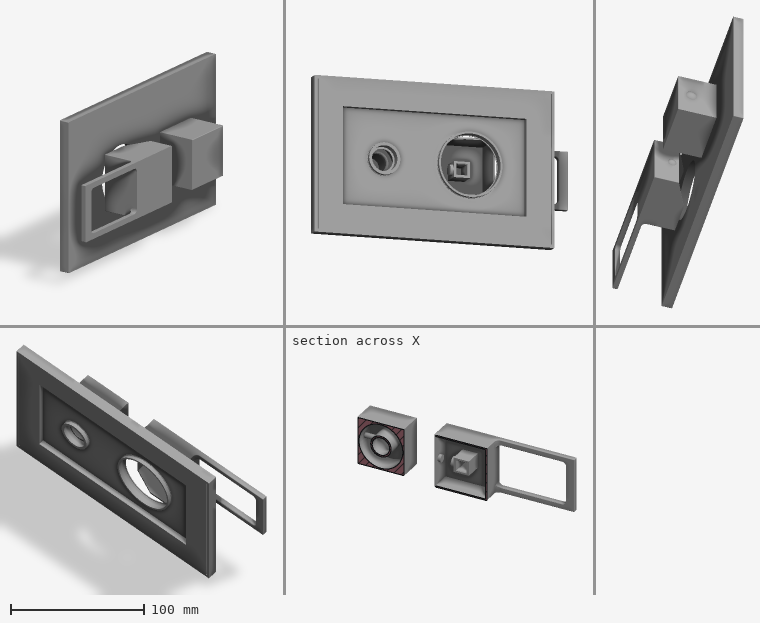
import cadquery as cq

PLATE_LENGTH = 190.0
PLATE_HEIGHT = 120.0
PLATE_THICKNESS = 8.0
RECESS_LENGTH = 145.0
RECESS_HEIGHT = 75.0
RECESS_DEPTH = 4.5
COLLAR_PROUD = 3.5
COLLAR_ROOT_FILLET = 0.5
LARGE_COLLAR_RADIUS = 25.0
LARGE_HOLE_RADIUS = 23.5
LARGE_LIP_RADIUS = 23.0
SMALL_COLLAR_RADIUS = 12.3
SMALL_HOLE_RADIUS = 10.0
SMALL_LIP_RADIUS = 8.5
LIP_THICKNESS = 0.6
GROOVE_INSET = 2.1
GROOVE_END_INSET = 2.5
GROOVE_WIDTH = 0.8
GROOVE_DEPTH = 1.0

TOTAL_LENGTH = 212.5

CONTROL_FRONT = 10.6
WALL = 1.5
BACK_WALL = 4.0
EDGE_FILLET = 0.5

LEVER_Y = -29.0
LEVER_SIZE = 45.0
LEVER_BACK = 40.0
BEVEL_DEPTH = 10.2
BEVEL_RUN = 21.5
HANDLE_THICKNESS = BACK_WALL
HANDLE_END = PLATE_LENGTH / 2 - TOTAL_LENGTH
HANDLE_ARM = 4.5
HANDLE_GRIP = 7.2
HANDLE_WINDOW_CHAMFER = 0.5
HANDLE_ROOT_RADIUS = 3.5
SOCKET_WIDTH = 13.0
SOCKET_HEIGHT = 12.3
SOCKET_FRONT = 21.7
SQUARE_HOLE = 8.0
SQUARE_HOLE_CHAMFER = 0.6
LEVER_SCREW_X = 26.0
LEVER_SCREW_RADIUS = 3.5
LEVER_SCREW_PROUD = 1.5
LEVER_SCREW_INNER_RADIUS = 3.0
LEVER_SCREW_INNER_LENGTH = 2.5
SOCKET_NECK_RADIUS = 4.2
SOCKET_NECK_LENGTH = 2.5

KNOB_Y = 39.0
KNOB_SIZE = 40.0
KNOB_BACK = 40.5
SLEEVE_RADIUS = 9.0
BORE_RADIUS = 7.2
BORE_CHAMFER = 0.6
SLEEVE_FRONT = 19.1
KNOB_SCREW_X = 30.2
KNOB_SCREW_RADIUS = 4.5
KNOB_SCREW_PROUD = 1.7
KNOB_SCREW_SHANK_RADIUS = 2.1


def box(x_range, y_range, z_size):
    """Block between two X and two Y places, centred on Z = 0."""
    return (
        cq.Workplane("XY", origin=(0, 0, -z_size / 2))
        .moveTo(x_range[0], y_range[0])
        .lineTo(x_range[1], y_range[0])
        .lineTo(x_range[1], y_range[1])
        .lineTo(x_range[0], y_range[1])
        .close()
        .extrude(z_size)
    )


def rod_x(x_start, x_end, y, radius):
    """Cylinder along X."""
    return cq.Workplane("YZ", origin=(x_start, y, 0)).circle(radius).extrude(x_end - x_start)


def rod_y(x, y_start, y_end, radius):
    """Cylinder along Y."""
    return cq.Workplane("XZ", origin=(x, y_end, 0)).circle(radius).extrude(y_end - y_start)


def domed_head(x, y, radius, height):
    """Domed screw head that rises in +Y from a flat base at y."""
    ball_radius = (radius ** 2 + height ** 2) / (2 * height)
    return (
        cq.Workplane("XY", origin=(x, y, 0))
        .lineTo(radius, 0)
        .radiusArc((0, height), -ball_radius)
        .close()
        .revolve(360, (0, 0), (0, 1))
    )


def collar(front, y, radius):
    """Disc on the recess floor with a fillet around its root."""
    root = COLLAR_ROOT_FILLET
    return (
        cq.Workplane("XY", origin=(0, y, 0))
        .moveTo(front, 0)
        .lineTo(front, radius)
        .lineTo(RECESS_DEPTH - root, radius)
        .radiusArc((RECESS_DEPTH, radius + root), root)
        .lineTo(RECESS_DEPTH, 0)
        .close()
        .revolve(360, (0, 0), (1, 0))
    )


def make_plate():
    """Recessed plate with two collared holes and a thin groove along each end."""
    half_length = PLATE_LENGTH / 2
    plate = box((0, PLATE_THICKNESS), (-half_length, half_length), PLATE_HEIGHT)
    plate = plate.edges("|X").fillet(EDGE_FILLET)
    plate = plate.cut(box((0, RECESS_DEPTH), (-RECESS_LENGTH / 2, RECESS_LENGTH / 2), RECESS_HEIGHT))
    collar_front = RECESS_DEPTH - COLLAR_PROUD
    lip_front = PLATE_THICKNESS - LIP_THICKNESS
    for y, collar_radius, hole_radius, lip_radius in (
        (LEVER_Y, LARGE_COLLAR_RADIUS, LARGE_HOLE_RADIUS, LARGE_LIP_RADIUS),
        (KNOB_Y, SMALL_COLLAR_RADIUS, SMALL_HOLE_RADIUS, SMALL_LIP_RADIUS),
    ):
        plate = plate.union(collar(collar_front, y, collar_radius))
        plate = plate.cut(rod_x(0, lip_front, y, hole_radius))
        plate = plate.cut(rod_x(0, PLATE_THICKNESS, y, lip_radius))
    groove_y = half_length - GROOVE_INSET - GROOVE_WIDTH / 2
    for y in (-groove_y, groove_y):
        groove = box(
            (0, GROOVE_DEPTH),
            (y - GROOVE_WIDTH / 2, y + GROOVE_WIDTH / 2),
            PLATE_HEIGHT - 2 * GROOVE_END_INSET,
        )
        plate = plate.cut(groove)
    return plate


def lever_blank():
    """Solid housing and handle in one side outline, with rounded outer edges."""
    half = LEVER_SIZE / 2
    top = LEVER_Y + half
    bottom = LEVER_Y - half
    handle_front = LEVER_BACK - HANDLE_THICKNESS
    root = HANDLE_ROOT_RADIUS
    blank = (
        cq.Workplane("XY", origin=(0, 0, -half))
        .moveTo(LEVER_BACK, HANDLE_END)
        .lineTo(LEVER_BACK, top)
        .lineTo(CONTROL_FRONT + BEVEL_DEPTH, top)
        .lineTo(CONTROL_FRONT, top - BEVEL_RUN)
        .lineTo(CONTROL_FRONT, bottom)
        .lineTo(handle_front - root, bottom)
        .radiusArc((handle_front, bottom - root), root)
        .lineTo(handle_front, HANDLE_END)
        .close()
        .extrude(LEVER_SIZE)
    )
    end_edge = cq.selectors.NearestToPointSelector((handle_front, HANDLE_END, 0))
    return blank.edges("|X").add(blank.edges(end_edge)).fillet(EDGE_FILLET)


def lever_cavity():
    """Hollow of the housing, open at the front and through the bevel."""
    inner = LEVER_SIZE / 2 - WALL
    back = LEVER_BACK - BACK_WALL
    return box((CONTROL_FRONT, back), (LEVER_Y - inner, LEVER_Y + inner), 2 * inner)


def handle_window():
    """Opening in the handle; it flares where it cuts the fillet at the handle's root."""
    front = LEVER_BACK - HANDLE_THICKNESS
    root = HANDLE_ROOT_RADIUS
    root_y = LEVER_Y - LEVER_SIZE / 2
    half_height = LEVER_SIZE / 2 - HANDLE_ARM
    bottom_y = HANDLE_END + HANDLE_GRIP
    window = box((front - root, LEVER_BACK), (bottom_y, root_y), 2 * half_height)
    window = window.edges("|X").fillet(root)

    bevel = HANDLE_WINDOW_CHAMFER
    mouth = (
        cq.Workplane("YZ", origin=(front, (root_y + bottom_y - bevel) / 2, 0))
        .sketch()
        .rect(root_y - bottom_y + bevel, 2 * (half_height + bevel))
        .vertices()
        .fillet(root + bevel)
        .finalize()
        .extrude(bevel, taper=45)
    )
    flare = (
        cq.Workplane("XZ", origin=(0, root_y, 0))
        .moveTo(front - root, half_height)
        .lineTo(front, half_height - root)
        .lineTo(front, root - half_height)
        .lineTo(front - root, -half_height)
        .close()
        .extrude(root)
    )
    return window.union(mouth).union(flare)


def make_lever():
    """Hollow bevelled housing with its handle, square socket and side screw."""
    lever = lever_blank().cut(lever_cavity()).cut(handle_window())

    socket_half = SOCKET_WIDTH / 2
    socket_y = (LEVER_Y - socket_half, LEVER_Y + socket_half)
    socket = box((SOCKET_FRONT, LEVER_BACK), socket_y, SOCKET_HEIGHT)
    neck = rod_y(LEVER_SCREW_X, LEVER_Y, LEVER_Y + socket_half + SOCKET_NECK_LENGTH, SOCKET_NECK_RADIUS)
    lever = lever.union(socket).union(neck).cut(square_hole())

    wall_y = LEVER_Y + LEVER_SIZE / 2
    inner_end = wall_y - WALL - LEVER_SCREW_INNER_LENGTH
    lever = lever.union(rod_y(LEVER_SCREW_X, inner_end, wall_y, LEVER_SCREW_INNER_RADIUS))
    return lever.union(domed_head(LEVER_SCREW_X, wall_y, LEVER_SCREW_RADIUS, LEVER_SCREW_PROUD))


def square_hole():
    """Square spindle hole in the socket, chamfered at its mouth."""
    back = LEVER_BACK - BACK_WALL
    mouth = SQUARE_HOLE + 2 * SQUARE_HOLE_CHAMFER
    sketch = cq.Workplane("YZ", origin=(SOCKET_FRONT, LEVER_Y, 0))
    hole = sketch.rect(SQUARE_HOLE, SQUARE_HOLE).extrude(back - SOCKET_FRONT)
    return hole.union(sketch.rect(mouth, mouth).extrude(SQUARE_HOLE_CHAMFER, taper=45))


def bore_mouth():
    """Conical lead-in at the front of the sleeve bore."""
    mouth = cq.Workplane("YZ", origin=(SLEEVE_FRONT, KNOB_Y, 0)).circle(BORE_RADIUS + BORE_CHAMFER)
    return mouth.extrude(BORE_CHAMFER, taper=45)


def make_knob():
    """Square knob with a round hollow, a bored sleeve and a side screw."""
    half = KNOB_SIZE / 2
    back = KNOB_BACK - BACK_WALL
    wall_y = KNOB_Y + half
    knob = box((CONTROL_FRONT, KNOB_BACK), (KNOB_Y - half, KNOB_Y + half), KNOB_SIZE)
    knob = knob.faces(">X").edges().fillet(EDGE_FILLET)
    knob = knob.cut(rod_x(CONTROL_FRONT, back, KNOB_Y, half - WALL))
    knob = knob.union(rod_x(SLEEVE_FRONT, back, KNOB_Y, SLEEVE_RADIUS))
    knob = knob.union(rod_y(KNOB_SCREW_X, KNOB_Y, wall_y, KNOB_SCREW_SHANK_RADIUS))
    knob = knob.cut(rod_x(SLEEVE_FRONT, back, KNOB_Y, BORE_RADIUS)).cut(bore_mouth())
    return knob.union(domed_head(KNOB_SCREW_X, wall_y, KNOB_SCREW_RADIUS, KNOB_SCREW_PROUD))


plate = make_plate()
lever = make_lever()
knob = make_knob()

result = cq.Compound.makeCompound([plate.val(), lever.val(), knob.val()])